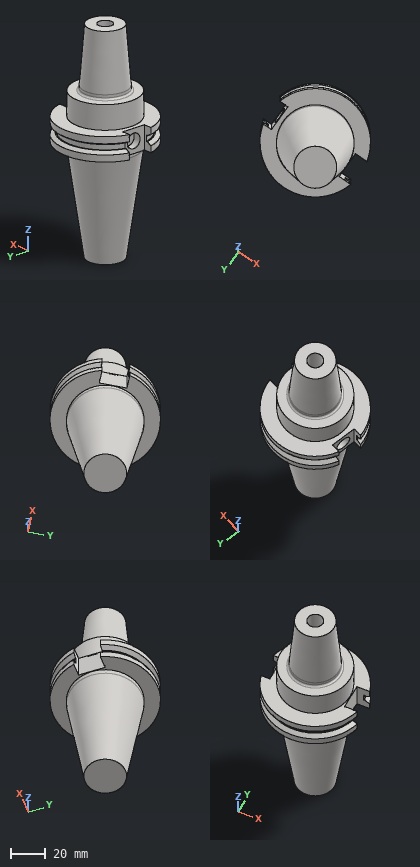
import cadquery as cq
import math

total_height = 144.5
gauge_height = 68.3
flange_bottom = 71.6
flange_top = 87.4
collar_top = 103.3
nose_straight_top = 106.5

shank_diameter = 44.5
taper_ratio = 7 / 24
shank_tip_diameter = shank_diameter - taper_ratio * gauge_height

flange_diameter = 63.4
groove_floor_diameter = 56.2
groove_ledge = 0.7
groove_floor_width = 3.6
groove_flank_angle = 30.0
flange_middle = (flange_bottom + flange_top) / 2

collar_diameter = 44.2
nose_base_diameter = 30.0
nose_tip_diameter = 24.0
nose_fillet = 1.3

slot_width = 16.2
slot_floor_left = 25.0
slot_floor_right = 22.5

bore_diameter = 9.5
bore_depth = 41.9
side_hole_diameter = 9.5
side_hole_depth = 5.0


def turned_body():
    """Half section in the XZ plane, revolved about Z."""
    flange_r = flange_diameter / 2
    floor_r = groove_floor_diameter / 2
    flank_foot_r = floor_r + groove_ledge
    nose_r = nose_base_diameter / 2
    half_floor = groove_floor_width / 2
    half_mouth = half_floor + (flange_r - flank_foot_r) * math.tan(math.radians(groove_flank_angle))
    fillet_inset = nose_fillet * (1 - math.sqrt(0.5))
    section = (
        cq.Workplane("XZ")
        .lineTo(shank_tip_diameter / 2, 0)
        .lineTo(shank_diameter / 2, gauge_height)
        .lineTo(shank_diameter / 2, flange_bottom)
        .lineTo(flange_r, flange_bottom)
        .lineTo(flange_r, flange_middle - half_mouth)
        .lineTo(flank_foot_r, flange_middle - half_floor)
        .lineTo(floor_r, flange_middle - half_floor)
        .lineTo(floor_r, flange_middle + half_floor)
        .lineTo(flank_foot_r, flange_middle + half_floor)
        .lineTo(flange_r, flange_middle + half_mouth)
        .lineTo(flange_r, flange_top)
        .lineTo(collar_diameter / 2, flange_top)
        .lineTo(collar_diameter / 2, collar_top)
        .lineTo(nose_r + nose_fillet, collar_top)
        .threePointArc(
            (nose_r + fillet_inset, collar_top + fillet_inset),
            (nose_r, collar_top + nose_fillet),
        )
        .lineTo(nose_r, nose_straight_top)
        .lineTo(nose_tip_diameter / 2, total_height)
        .lineTo(0, total_height)
        .close()
    )
    return section.revolve(360, (0, 0, 0), (0, 1, 0))


def drive_slot(side, floor_distance):
    """Cutter for one slot through the flange height; side is -1 or +1 along X."""
    cutter_length = flange_diameter / 2
    return cq.Workplane("XY").box(
        cutter_length, slot_width, flange_top - flange_bottom
    ).translate((side * (floor_distance + cutter_length / 2), 0, flange_middle))


def tool_bore():
    """Blind bore from the nose face down the axis."""
    return (
        cq.Workplane("XY", origin=(0, 0, total_height - bore_depth))
        .circle(bore_diameter / 2)
        .extrude(bore_depth)
    )


def side_hole():
    """Blind radial hole in the floor of the -X slot."""
    return (
        cq.Workplane("YZ", origin=(-slot_floor_left, 0, flange_middle))
        .circle(side_hole_diameter / 2)
        .extrude(side_hole_depth)
    )


result = (
    turned_body()
    .cut(drive_slot(-1, slot_floor_left))
    .cut(drive_slot(1, slot_floor_right))
    .cut(tool_bore())
    .cut(side_hole())
)